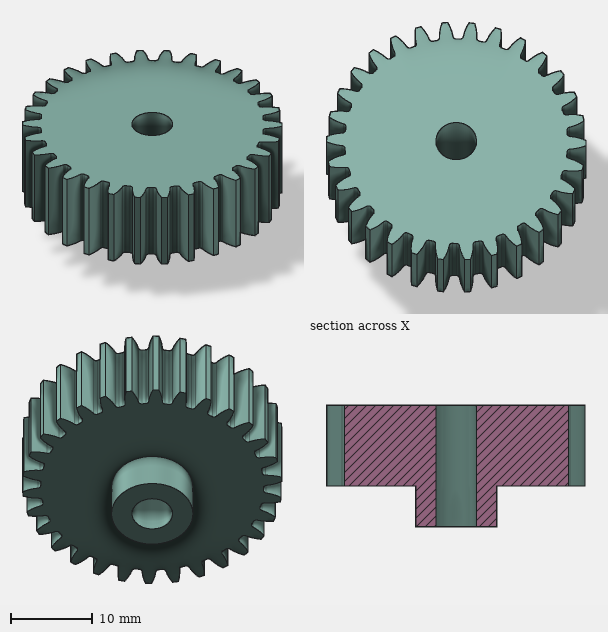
import cadquery as cq
import math

outer_diameter = 32.0
tooth_count = 30
overall_height = 15.0
face_width = 10.0
hub_length = overall_height - face_width
hub_diameter = 10.0
bore_diameter = 5.0
first_tooth_angle = 2.0

module = outer_diameter / (tooth_count + 2)
tip_radius = outer_diameter / 2
pitch_radius = tip_radius - module
dedendum = 1.25 * module
root_radius = pitch_radius - dedendum
tooth_spacing_angle = 360.0 / tooth_count

tip_half_angle = 1.3
pitch_half_angle = 2.7
root_half_angle = 3.6
root_fillet_radius = 0.4


def polar(radius, degrees):
    """Point at a radius and an angle from +X."""
    angle = math.radians(degrees)
    return (radius * math.cos(angle), radius * math.sin(angle))


def tooth_space():
    """Cutter for one gap between two teeth, centred on +X, with rounded bottom corners."""
    half_spacing = tooth_spacing_angle / 2
    tip_offset = half_spacing - tip_half_angle
    pitch_offset = half_spacing - pitch_half_angle
    root_offset = half_spacing - root_half_angle
    clear_radius = tip_radius + module
    bottom_corners = cq.selectors.BoxSelector(
        (0, -tip_radius, 0),
        (pitch_radius - module, tip_radius, face_width),
    )
    return (
        cq.Workplane("XY")
        .moveTo(*polar(clear_radius, -tip_offset))
        .lineTo(*polar(tip_radius, -tip_offset))
        .threePointArc(polar(pitch_radius, -pitch_offset), polar(root_radius, -root_offset))
        .threePointArc(polar(root_radius, 0), polar(root_radius, root_offset))
        .threePointArc(polar(pitch_radius, pitch_offset), polar(tip_radius, tip_offset))
        .lineTo(*polar(clear_radius, tip_offset))
        .close()
        .extrude(face_width)
        .edges("|Z")
        .edges(bottom_corners)
        .fillet(root_fillet_radius)
    )


def toothed_wheel():
    """Gear rim with its underside at Z = 0."""
    wheel = cq.Workplane("XY").circle(tip_radius).extrude(face_width)
    gap = tooth_space()
    for index in range(tooth_count):
        gap_angle = first_tooth_angle + (index + 0.5) * tooth_spacing_angle
        wheel = wheel.cut(gap.rotate((0, 0, 0), (0, 0, 1), gap_angle))
    return wheel


hub = cq.Workplane("XY").circle(hub_diameter / 2).extrude(-hub_length)
bore = (
    cq.Workplane("XY")
    .workplane(offset=-hub_length)
    .circle(bore_diameter / 2)
    .extrude(hub_length + face_width)
)
result = toothed_wheel().union(hub).cut(bore)